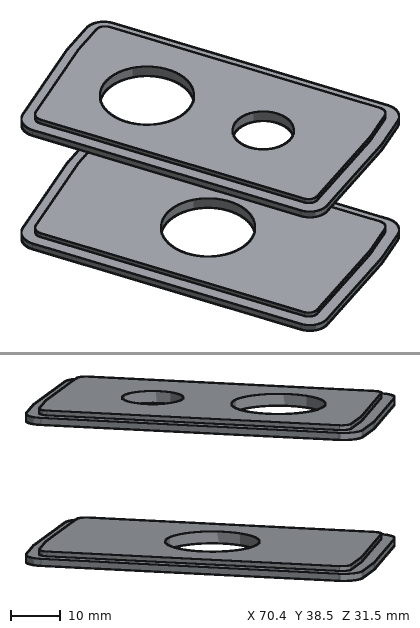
import cadquery as cq
import math

PLATE_LENGTH = 70.4
PLATE_WIDTH = 38.45
SIDE_POINT_Y = 7.25
SIDE_TAPER_DEG = 3.0
FLANGE_CORNER_RADIUS = 4.0

STEP_INSET = 2.6
STEP_CORNER_RADIUS = 2.0

FLANGE_THICKNESS = 1.5
TOTAL_HEIGHT = 31.5
PLATE_THICKNESS = 2.45
STEP_HEIGHT = PLATE_THICKNESS - FLANGE_THICKNESS
UPPER_PLATE_Z = TOTAL_HEIGHT - PLATE_THICKNESS

LARGE_HOLE_DIAMETER = 18.95
SMALL_HOLE_DIAMETER = 12.3
HOLE_ROW_Y = -0.2
UPPER_LARGE_HOLE_X = -13.65
UPPER_SMALL_HOLE_X = 12.3
LOWER_HOLE_X = 0.0


def outline_slab(inset, corner_radius, thickness, base_z):
    """Extrude the plate outline, moved inward by inset, with rounded corners."""
    taper = math.radians(SIDE_TAPER_DEG)
    half_width = PLATE_WIDTH / 2 - inset
    rounding_loss = FLANGE_CORNER_RADIUS * (1 / math.cos(taper) - 1)
    point_x = PLATE_LENGTH / 2 + rounding_loss - inset / math.cos(taper)
    back_x = point_x - (half_width - SIDE_POINT_Y) * math.tan(taper)
    front_x = point_x - (half_width + SIDE_POINT_Y) * math.tan(taper)
    corners = [
        (-front_x, -half_width),
        (front_x, -half_width),
        (point_x, SIDE_POINT_Y),
        (back_x, half_width),
        (-back_x, half_width),
        (-point_x, SIDE_POINT_Y),
    ]
    slab = cq.Workplane("XY").workplane(offset=base_z).polyline(corners).close().extrude(thickness)
    return slab.edges("|Z").fillet(corner_radius)


def stepped_plate(base_z):
    """Flange with the smaller raised step on top of it."""
    flange = outline_slab(0, FLANGE_CORNER_RADIUS, FLANGE_THICKNESS, base_z)
    step = outline_slab(STEP_INSET, STEP_CORNER_RADIUS, STEP_HEIGHT, base_z + FLANGE_THICKNESS)
    return flange.union(step)


def hole_cutter(center_x, diameter, base_z):
    """Cylinder through the full thickness of a plate."""
    plane = cq.Workplane("XY").workplane(offset=base_z)
    return plane.center(center_x, HOLE_ROW_Y).circle(diameter / 2).extrude(PLATE_THICKNESS)


def make_lower_plate():
    """Plate with a single central hole."""
    return stepped_plate(0).cut(hole_cutter(LOWER_HOLE_X, LARGE_HOLE_DIAMETER, 0))


def make_upper_plate():
    """Plate with a large and a small hole side by side."""
    plate = stepped_plate(UPPER_PLATE_Z)
    plate = plate.cut(hole_cutter(UPPER_LARGE_HOLE_X, LARGE_HOLE_DIAMETER, UPPER_PLATE_Z))
    return plate.cut(hole_cutter(UPPER_SMALL_HOLE_X, SMALL_HOLE_DIAMETER, UPPER_PLATE_Z))


lower_plate = make_lower_plate()
upper_plate = make_upper_plate()

result = cq.Compound.makeCompound([lower_plate.val(), upper_plate.val()])